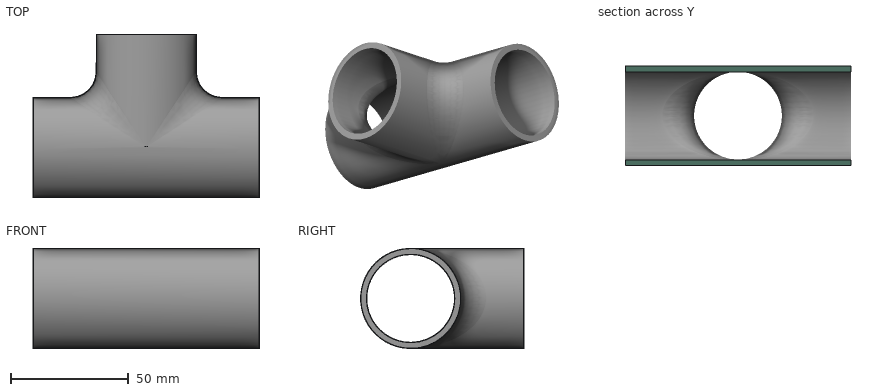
import cadquery as cq
import math

run_length = 96.0
outer_diameter = 42.4
bore_diameter = 37.2
branch_reach = 48.0
crotch_radius = 10.8

wall = (outer_diameter - bore_diameter) / 2
bore_crotch_radius = crotch_radius + wall

fade_angle = 89.0
rib_count = 7


def tee_of_cylinders(diameter):
    """Run and branch as plain round bars."""
    run = cq.Workplane("YZ").circle(diameter / 2).extrude(run_length / 2, both=True)
    branch = cq.Workplane("XZ").circle(diameter / 2).extrude(-branch_reach)
    return run.union(branch)


def crotch_rib(diameter, blend_radius, arc_angle):
    """Elliptic arc and its chord, in the plane through Z and one point of the mid-plane blend arc."""
    pipe_radius = diameter / 2
    arc_centre = pipe_radius + blend_radius
    rib_point = cq.Vector(
        arc_centre - blend_radius * math.cos(arc_angle),
        arc_centre - blend_radius * math.sin(arc_angle),
        0,
    )
    ellipse_arc = cq.Edge.makeEllipse(
        rib_point.Length,
        pipe_radius,
        dir=rib_point.cross(cq.Vector(0, 0, 1)),
        xdir=rib_point,
        angle1=-fade_angle,
        angle2=fade_angle,
    )
    chord = cq.Edge.makeLine(ellipse_arc.endPoint(), ellipse_arc.startPoint())
    return cq.Wire.assembleEdges([ellipse_arc, chord])


def crotch_blend(diameter, blend_radius):
    """Filler for the +X crotch: at every height an arc tangent to both pipes."""
    arc_step = math.pi / 2 / (rib_count - 1)
    ribs = [crotch_rib(diameter, blend_radius, i * arc_step) for i in range(rib_count)]
    return cq.Workplane(cq.Solid.makeLoft(ribs))


def blended_tee(diameter, blend_radius):
    """Solid tee with both crotches blended."""
    blend = crotch_blend(diameter, blend_radius)
    return tee_of_cylinders(diameter).union(blend).union(blend.mirror("YZ"))


result = blended_tee(outer_diameter, crotch_radius).cut(blended_tee(bore_diameter, bore_crotch_radius))